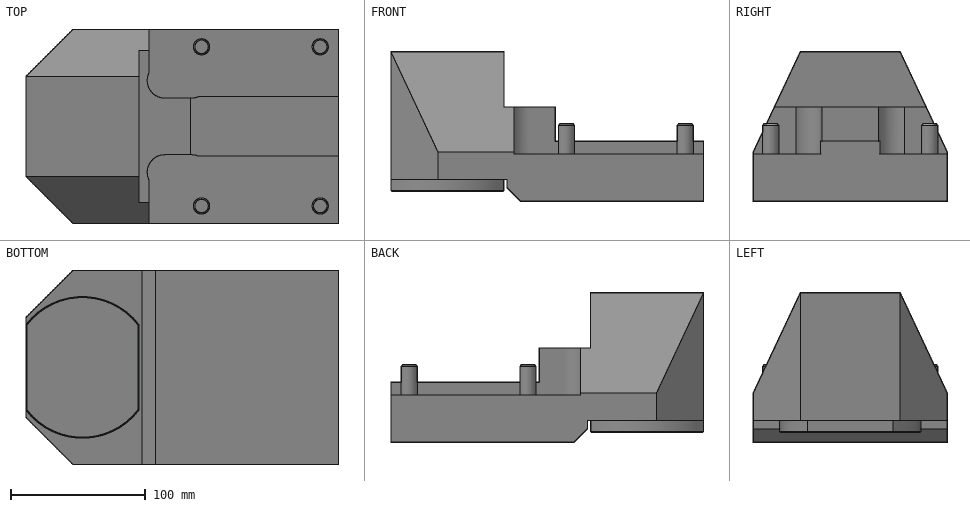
import cadquery as cq

length = 232.0
width = 144.0
height = 111.0

plate_top = 35.0
head_bottom = 16.0
step_x = 86.0
step_chamfer = 10.0

head_length = 84.0
head_end_x = 91.5
corner_bevel = 35.0
flank_bottom = 36.5
crown_width = width - 2 * corner_bevel

tongue_top = 70.0
tongue_end_x = 122.0
rail_top = 44.5
rail_width = 44.0

slot_radius = 13.0
slot_start_x = 103.0
slot_end_x = 123.0
tongue_width = 42.0
slot_y = tongue_width / 2 + slot_radius

disc_diameter = 105.0
disc_bottom = 7.3
disc_chamfer = 0.7
disc_flat_inset = 0.1

pin_diameter = 12.0
pin_top = 57.5
pin_chamfer_width = 1.0
pin_chamfer_height = 1.5
pin_spacing = 88.0
first_pin_x = 130.3
pin_x_positions = (first_pin_x, first_pin_x + pin_spacing)
pin_y = 59.0


def box(x_start, x_end, y_size, z_start, z_end):
    """Block between two X and two Z levels, centred on Y = 0."""
    return (
        cq.Workplane("XY")
        .box(x_end - x_start, y_size, z_end - z_start, centered=(False, True, False))
        .translate((x_start, 0, z_start))
    )


def plan_bevels():
    """Full-height prism of the plan outline, with both front corners cut off."""
    return (
        cq.Workplane("XY")
        .moveTo(0, -crown_width / 2)
        .lineTo(corner_bevel, -width / 2)
        .lineTo(length, -width / 2)
        .lineTo(length, width / 2)
        .lineTo(corner_bevel, width / 2)
        .lineTo(0, crown_width / 2)
        .close()
        .extrude(height)
    )


def make_base():
    """Side profile of the plate, thinner below the head and chamfered at the step."""
    return (
        cq.Workplane("XZ")
        .moveTo(0, head_bottom)
        .lineTo(step_x, head_bottom)
        .lineTo(step_x, step_chamfer)
        .lineTo(step_x + step_chamfer, 0)
        .lineTo(length, 0)
        .lineTo(length, plate_top)
        .lineTo(0, plate_top)
        .close()
        .extrude(width / 2, both=True)
    )


def make_head():
    """Head cross-section swept along X, lowered to the tongue level past the block."""
    section = (
        cq.Workplane("YZ")
        .moveTo(-width / 2, head_bottom)
        .lineTo(width / 2, head_bottom)
        .lineTo(width / 2, flank_bottom)
        .lineTo(crown_width / 2, height)
        .lineTo(-crown_width / 2, height)
        .lineTo(-width / 2, flank_bottom)
        .close()
        .extrude(head_end_x)
    )
    return section.cut(box(head_length, head_end_x, width, tongue_top, height))


def make_slots():
    """Pair of round-ended slots that shape the sides of the tongue."""
    return (
        cq.Workplane("XY", origin=(0, 0, plate_top))
        .pushPoints([((slot_start_x + slot_end_x) / 2, side * slot_y) for side in (-1, 1)])
        .slot2D(slot_end_x - slot_start_x + 2 * slot_radius, 2 * slot_radius)
        .extrude(tongue_top - plate_top)
    )


def make_disc():
    """Locating disc with two flats just inside the head ends, lower rim chamfered."""
    trim = box(disc_flat_inset, head_length - disc_flat_inset, disc_diameter, disc_bottom, head_bottom)
    disc = (
        cq.Workplane("XY", origin=(head_length / 2, 0, disc_bottom))
        .circle(disc_diameter / 2)
        .extrude(head_bottom - disc_bottom)
        .intersect(trim)
    )
    return disc.faces("<Z").chamfer(disc_chamfer)


def make_pins():
    """Four cylindrical pins standing on the plate."""
    positions = [(x, side * pin_y) for x in pin_x_positions for side in (-1, 1)]
    pins = (
        cq.Workplane("XY", origin=(0, 0, plate_top))
        .pushPoints(positions)
        .circle(pin_diameter / 2)
        .extrude(pin_top - plate_top)
    )
    return pins.faces(">Z").chamfer(pin_chamfer_height, pin_chamfer_width)


tongue = box(head_end_x, tongue_end_x, rail_width, plate_top, tongue_top)
root = box(head_end_x, slot_start_x, 2 * slot_y, plate_top, tongue_top)
rail = box(head_end_x, length, rail_width, plate_top, rail_top)

body = make_base().union(make_head()).union(tongue).union(root).union(rail)
body = body.intersect(plan_bevels()).cut(make_slots())

result = body.union(make_disc()).union(make_pins())